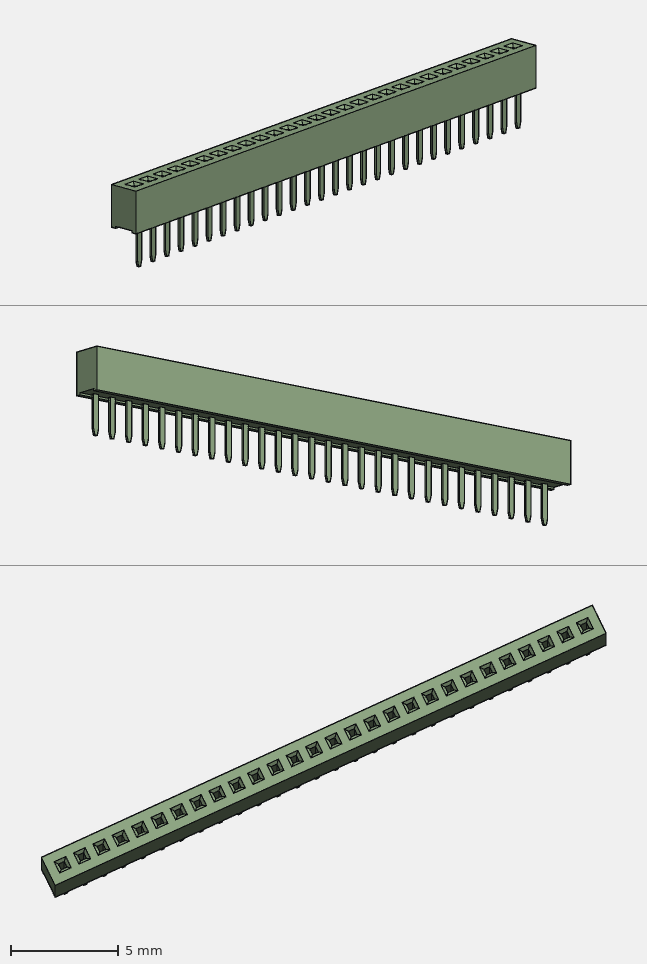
import cadquery as cq

body_length = 28.5
body_width = 1.5
body_height = 2.1
overall_height = 4.0

foot_width = 0.25
groove_depth = 0.1

contact_count = 28
end_allowance = 0.5
pitch = body_length / (contact_count + end_allowance)

socket_mouth = 0.6
socket_bore = socket_mouth / 2
funnel_depth = (socket_mouth - socket_bore) / 2
bore_depth = 1.5

pin_offset = 0.28
pin_thickness = 0.1
pin_width = socket_bore
tip_length = 0.3
tip_width = 0.15

contact_places = [
    (0, (index - (contact_count - 1) / 2) * pitch) for index in range(contact_count)
]


def make_body():
    """Housing standing on its feet at Z = 0, with the groove running its full length."""
    on_base = (True, True, False)
    block = cq.Workplane("XY").box(body_width, body_length, body_height, centered=on_base)
    groove_width = body_width - 2 * foot_width
    groove = cq.Workplane("XY").box(groove_width, body_length, groove_depth, centered=on_base)
    return block.cut(groove)


def make_socket():
    """Cutting solid for one socket, centred on the Z axis."""
    funnel = (
        cq.Workplane("XY", origin=(0, 0, body_height))
        .rect(socket_mouth, socket_mouth)
        .workplane(offset=-funnel_depth)
        .rect(socket_bore, socket_bore)
        .loft(ruled=True)
    )
    bore = (
        cq.Workplane("XY", origin=(0, 0, body_height - funnel_depth))
        .rect(socket_bore, socket_bore)
        .extrude(-(bore_depth - funnel_depth))
    )
    return funnel.union(bore)


def make_pin():
    """One pin hanging from the groove ceiling, its tip tapered across the width only."""
    pin_end = body_height - overall_height
    outline = [
        (-pin_width / 2, groove_depth),
        (-pin_width / 2, pin_end + tip_length),
        (-tip_width / 2, pin_end),
        (tip_width / 2, pin_end),
        (pin_width / 2, pin_end + tip_length),
        (pin_width / 2, groove_depth),
    ]
    return (
        cq.Workplane("YZ", origin=(pin_offset, 0, 0))
        .polyline(outline)
        .close()
        .extrude(pin_thickness / 2, both=True)
    )


def at_each_contact(shape):
    """Copies of a shape at every contact place along the row."""
    solid = shape.val()
    return cq.Workplane("XY").pushPoints(contact_places).eachpoint(
        lambda place: solid.moved(place), combine=False
    )


sockets = at_each_contact(make_socket())
pins = at_each_contact(make_pin())

result = make_body().cut(sockets).union(pins)